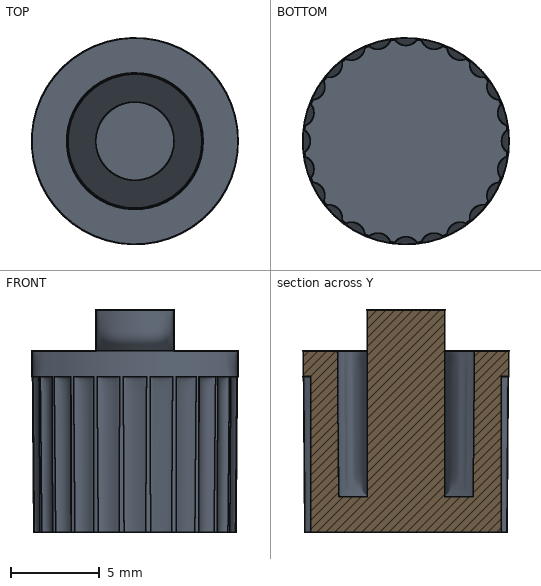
import cadquery as cq
import math

body_height = 8.75
flange_top = 10.2
pin_top = 12.5

flange_top_radius = 5.81
pin_radius = 2.2
bore_top_radius = 3.84

draft_angle = 0.5
draft_slope = math.tan(math.radians(draft_angle))
body_bottom_radius = flange_top_radius - flange_top * draft_slope

floor_thickness = 2.0
bore_bottom_radius = bore_top_radius - (flange_top - floor_thickness) * draft_slope

flute_count = 24
flute_radius = 0.75
flute_root_radius = 5.375
flute_center_radius = flute_root_radius + flute_radius


def make_blank():
    """Tapered body and flange, drafted bore and central pin, revolved about Z."""
    profile = [
        (0, 0),
        (body_bottom_radius, 0),
        (flange_top_radius, flange_top),
        (bore_top_radius, flange_top),
        (bore_bottom_radius, floor_thickness),
        (pin_radius, floor_thickness),
        (pin_radius, pin_top),
        (0, pin_top),
    ]
    return cq.Workplane("XZ").polyline(profile).close().revolve(360, (0, 0), (0, 1))


def make_flutes():
    """Ring of round cutters that stop at the underside of the flange."""
    return (
        cq.Workplane("XY")
        .polarArray(flute_center_radius, 0, 360, flute_count)
        .circle(flute_radius)
        .extrude(body_height)
    )


result = make_blank().cut(make_flutes())